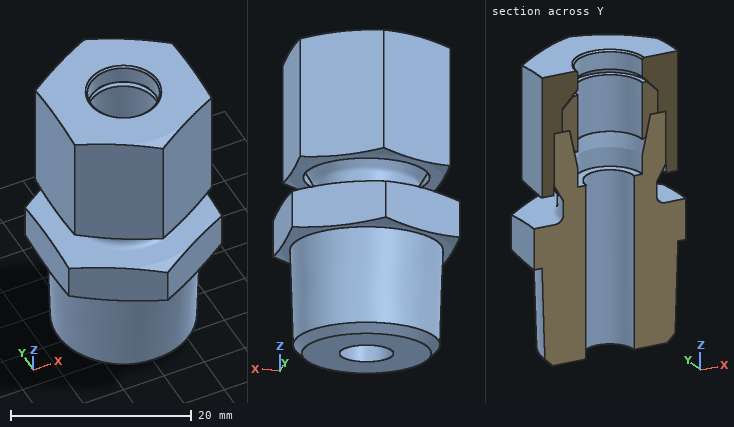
import cadquery as cq
import math


TOTAL_HEIGHT = 35.0
PIPE_THREAD_LENGTH = 12.0
BODY_HEX_HEIGHT = 5.0
NUT_HEIGHT = 14.5
BODY_HEIGHT = 28.0
BODY_HEX_TOP = PIPE_THREAD_LENGTH + BODY_HEX_HEIGHT
NUT_BOTTOM = TOTAL_HEIGHT - NUT_HEIGHT

BODY_HEX_FLATS = 19.0
NUT_HEX_FLATS = 17.0
HEX_CHAMFER_ANGLE = 15.0
HEX_CHAMFER_INSET = 0.05

PIPE_THREAD_DIAMETER = 17.0
PIPE_THREAD_TAPER = 1 / 16
PIPE_THREAD_CHAMFER = 0.98

NUT_THREAD_DIAMETER = 14.0
NECK_DIAMETER = 11.7
NECK_FILLET = 1.0
NECK_STRAIGHT_LENGTH = 1.33
THREAD_RUNOUT_ANGLE = 30.0

BORE_DIAMETER = 6.0
TUBE_DIAMETER = 8.0
TUBE_SOCKET_DEPTH = 7.0

SEAL_MOUTH_DIAMETER = 10.0
SEAL_HALF_ANGLE = 12.0
RING_DIAMETER = 12.0
RING_NOSE_LENGTH = 2.8
RING_GAP_HEIGHT = 0.65

NUT_LIP_THICKNESS = 2.3
NUT_MOUTH_CHAMFER = 0.2
NUT_LIP_BOTTOM = TOTAL_HEIGHT - NUT_LIP_THICKNESS

TUBE_RADIUS = TUBE_DIAMETER / 2
RING_RADIUS = RING_DIAMETER / 2
SEAL_MOUTH_RADIUS = SEAL_MOUTH_DIAMETER / 2
SEAL_SLOPE = math.tan(math.radians(SEAL_HALF_ANGLE))
RING_SHOULDER = NUT_LIP_BOTTOM - (RING_RADIUS - TUBE_RADIUS)


def revolve_profile(profile):
    """Turn a closed (radius, height) outline once around the Z axis."""
    return profile.close().revolve(360, (0, 0, 0), (0, 1, 0))


def chamfered_hexagon(flats, bottom, height):
    """Hexagonal prism whose corners are cut by a cone at both ends."""
    corner_radius = flats / 2 / math.cos(math.radians(30))
    face_radius = flats / 2 - HEX_CHAMFER_INSET
    corner_drop = (corner_radius - face_radius) * math.tan(math.radians(HEX_CHAMFER_ANGLE))
    top = bottom + height
    prism = (
        cq.Workplane("XY", origin=(0, 0, bottom))
        .polygon(6, 2 * corner_radius)
        .extrude(height)
        .rotate((0, 0, 0), (0, 0, 1), 30)
    )
    corner_cones = revolve_profile(
        cq.Workplane("XZ")
        .moveTo(0, bottom)
        .lineTo(face_radius, bottom)
        .lineTo(corner_radius, bottom + corner_drop)
        .lineTo(corner_radius, top - corner_drop)
        .lineTo(face_radius, top)
        .lineTo(0, top)
    )
    return prism.intersect(corner_cones)


def pipe_thread():
    """Tapered shank with a 45 degree chamfer at its free end."""
    top_radius = PIPE_THREAD_DIAMETER / 2
    taper_length = PIPE_THREAD_LENGTH - PIPE_THREAD_CHAMFER
    low_radius = top_radius - taper_length * PIPE_THREAD_TAPER / 2
    return revolve_profile(
        cq.Workplane("XZ")
        .moveTo(0, 0)
        .lineTo(low_radius - PIPE_THREAD_CHAMFER, 0)
        .lineTo(low_radius, PIPE_THREAD_CHAMFER)
        .lineTo(top_radius, PIPE_THREAD_LENGTH)
        .lineTo(0, PIPE_THREAD_LENGTH)
    )


def neck_and_nut_thread():
    """Filleted neck that widens through a cone to the nut thread."""
    neck_radius = NECK_DIAMETER / 2
    thread_radius = NUT_THREAD_DIAMETER / 2
    fillet_center_radius = neck_radius + NECK_FILLET
    lower_center = BODY_HEX_TOP + NECK_FILLET
    upper_center = lower_center + NECK_STRAIGHT_LENGTH

    def fillet_point(center_height, angle):
        turn = math.radians(angle)
        radius = fillet_center_radius - NECK_FILLET * math.cos(turn)
        return (radius, center_height + NECK_FILLET * math.sin(turn))

    cone_start = fillet_point(upper_center, THREAD_RUNOUT_ANGLE)
    cone_length = (thread_radius - cone_start[0]) / math.tan(math.radians(THREAD_RUNOUT_ANGLE))
    return revolve_profile(
        cq.Workplane("XZ")
        .moveTo(0, BODY_HEX_TOP)
        .lineTo(fillet_center_radius, BODY_HEX_TOP)
        .threePointArc(fillet_point(lower_center, -45), (neck_radius, lower_center))
        .lineTo(neck_radius, upper_center)
        .threePointArc(fillet_point(upper_center, THREAD_RUNOUT_ANGLE / 2), cone_start)
        .lineTo(thread_radius, cone_start[1] + cone_length)
        .lineTo(thread_radius, BODY_HEIGHT)
        .lineTo(0, BODY_HEIGHT)
    )


def body_bore():
    """Through bore, tube socket and sealing cone in one revolved cutter."""
    bore_radius = BORE_DIAMETER / 2
    socket_bottom = BODY_HEIGHT - TUBE_SOCKET_DEPTH
    cone_bottom = BODY_HEIGHT - (SEAL_MOUTH_RADIUS - TUBE_RADIUS) / SEAL_SLOPE
    return revolve_profile(
        cq.Workplane("XZ")
        .moveTo(0, 0)
        .lineTo(bore_radius, 0)
        .lineTo(bore_radius, socket_bottom)
        .lineTo(TUBE_RADIUS, socket_bottom)
        .lineTo(TUBE_RADIUS, cone_bottom)
        .lineTo(SEAL_MOUTH_RADIUS, BODY_HEIGHT)
        .lineTo(0, BODY_HEIGHT)
    )


def make_body():
    hexagon = chamfered_hexagon(BODY_HEX_FLATS, PIPE_THREAD_LENGTH, BODY_HEX_HEIGHT)
    return hexagon.union(pipe_thread()).union(neck_and_nut_thread()).cut(body_bore())


def make_cutting_ring():
    """Ring held between the 45 degree cone of the nut and the sealing cone of the body."""
    nose_bottom = BODY_HEIGHT - RING_NOSE_LENGTH
    nose_radius = SEAL_MOUTH_RADIUS - RING_NOSE_LENGTH * SEAL_SLOPE
    return revolve_profile(
        cq.Workplane("XZ")
        .moveTo(TUBE_RADIUS, nose_bottom)
        .lineTo(nose_radius, nose_bottom)
        .lineTo(SEAL_MOUTH_RADIUS, BODY_HEIGHT)
        .lineTo(RING_RADIUS, BODY_HEIGHT)
        .lineTo(RING_RADIUS, RING_SHOULDER)
        .lineTo(TUBE_RADIUS + RING_GAP_HEIGHT, NUT_LIP_BOTTOM - RING_GAP_HEIGHT)
        .lineTo(TUBE_RADIUS, NUT_LIP_BOTTOM - RING_GAP_HEIGHT)
    )


def nut_bore():
    """Thread hole, ring chamber, 45 degree cone and chamfered tube hole."""
    thread_radius = NUT_THREAD_DIAMETER / 2
    return revolve_profile(
        cq.Workplane("XZ")
        .moveTo(0, NUT_BOTTOM)
        .lineTo(thread_radius, NUT_BOTTOM)
        .lineTo(thread_radius, BODY_HEIGHT)
        .lineTo(RING_RADIUS, BODY_HEIGHT)
        .lineTo(RING_RADIUS, RING_SHOULDER)
        .lineTo(TUBE_RADIUS, NUT_LIP_BOTTOM)
        .lineTo(TUBE_RADIUS, TOTAL_HEIGHT - NUT_MOUTH_CHAMFER)
        .lineTo(TUBE_RADIUS + NUT_MOUTH_CHAMFER, TOTAL_HEIGHT)
        .lineTo(0, TOTAL_HEIGHT)
    )


def make_nut():
    return chamfered_hexagon(NUT_HEX_FLATS, NUT_BOTTOM, NUT_HEIGHT).cut(nut_bore())


body = make_body()
cutting_ring = make_cutting_ring()
nut = make_nut()

result = cq.Compound.makeCompound([body.solids().val(), cutting_ring.solids().val(), nut.solids().val()])